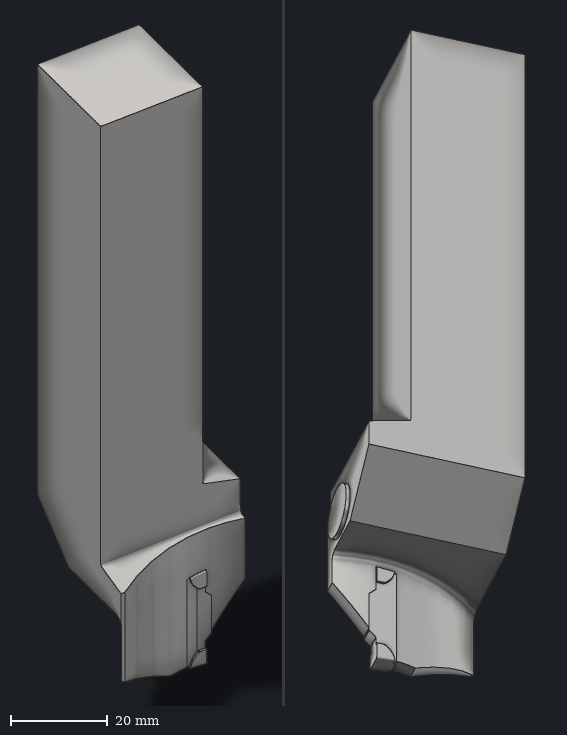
import cadquery as cq
import math


total_length = 151.35
shank_width = 24.7
shank_height = 25.0
head_width = 32.64
head_height = 34.2
head_bottom_z = 26.65
shoulder_angle = math.radians(15)
side_shoulder_z = 35.5
top_shoulder_z = 46.55
shoulder_fillet = 0.8
corner_cut_width = 12.1
corner_cut_height = 11.2

screw_diameter = 11.86
screw_height = 0.9
screw_x = 17.9
screw_z = 33.6

cutting_height = shank_height
blade_thickness = 3.3
blade_left_x = 22.4
convex_radius = 35.5
concave_radius = 45.3
root_fillet = 1.9
blade_bottom_z = 0.95
blade_bottom_y = 16.0
base_slope_angle = math.radians(30)
jaw_corner_z = 19.05
jaw_slope_angle = math.radians(55)

insert_length = 24.6
insert_seat_y = 20.5
insert_body_width = 3.4
insert_edge_width = 4.4
land_height = 1.5
land_start = 5.85
front_clearance = math.radians(5)
cheek_length = 4.0
cheek_flat = 1.7
cheek_heel_gap = 0.5
cheek_radius = 5.0
edge_corner_radius = 0.4

convex_axis_x = blade_left_x + convex_radius
concave_axis_x = blade_left_x + blade_thickness + concave_radius
insert_x = blade_left_x + blade_thickness / 2


def make_head_and_shank():
    """Square shank and shouldered head: a front outline crossed with a side outline."""
    side_drop = (head_width - shank_width) * math.tan(shoulder_angle)
    front_outline = [
        (0, total_length),
        (shank_width, total_length),
        (shank_width, side_shoulder_z),
        (head_width, side_shoulder_z - side_drop),
        (head_width, head_bottom_z),
        (corner_cut_width, head_bottom_z),
        (0, head_bottom_z + corner_cut_height),
    ]
    top_drop = (head_height - shank_height) * math.tan(shoulder_angle)
    side_outline = [
        (0, total_length),
        (shank_height, total_length),
        (shank_height, top_shoulder_z),
        (head_height, top_shoulder_z - top_drop),
        (head_height, head_bottom_z),
        (0, head_bottom_z),
    ]
    front_prism = cq.Workplane("XZ").polyline(front_outline).close().extrude(-head_height)
    side_root = cq.selectors.NearestToPointSelector((shank_width, head_height / 2, side_shoulder_z))
    front_prism = front_prism.edges("|Y").edges(side_root).fillet(shoulder_fillet)
    side_prism = cq.Workplane("YZ").polyline(side_outline).close().extrude(head_width)
    top_root = cq.selectors.NearestToPointSelector((head_width / 2, shank_height, top_shoulder_z))
    side_prism = side_prism.edges("|X").edges(top_root).fillet(shoulder_fillet)
    return front_prism.intersect(side_prism)


def make_blade():
    """Convex blade with a filleted root, trimmed to its side outline."""
    fillet_reach = root_fillet * (1 - math.sqrt(0.5))
    round_body = (
        cq.Workplane("XZ", origin=(convex_axis_x, cutting_height, 0))
        .lineTo(convex_radius, 0)
        .lineTo(convex_radius, head_bottom_z - root_fillet)
        .threePointArc(
            (convex_radius + fillet_reach, head_bottom_z - fillet_reach),
            (convex_radius + root_fillet, head_bottom_z),
        )
        .lineTo(0, head_bottom_z)
        .close()
        .revolve(360, (0, 0, 0), (0, 1, 0))
    )
    jaw_bottom_y = head_height - (jaw_corner_z - blade_bottom_z) / math.tan(jaw_slope_angle)
    base_corner_z = blade_bottom_z + blade_bottom_y * math.tan(base_slope_angle)
    side_outline = [
        (0, head_bottom_z),
        (0, base_corner_z),
        (blade_bottom_y, blade_bottom_z),
        (jaw_bottom_y, blade_bottom_z),
        (head_height, jaw_corner_z),
        (head_height, head_bottom_z),
    ]
    side_prism = cq.Workplane("YZ").polyline(side_outline).close().extrude(head_width)
    return round_body.intersect(side_prism)


def make_concave_cutter():
    """Cylinder that hollows the +X side of the head and blade."""
    return (
        cq.Workplane("XY")
        .center(concave_axis_x, cutting_height)
        .circle(concave_radius)
        .extrude(total_length)
    )


def make_screw_head():
    """Low round head standing on the +Y face of the head."""
    return (
        cq.Workplane("XZ", origin=(screw_x, head_height, screw_z))
        .circle(screw_diameter / 2)
        .extrude(-screw_height)
    )


def make_insert_half():
    """Half of the insert, from the cutting edge at Z = 0 up to its middle."""
    middle_z = insert_length / 2
    heel_z = (cutting_height - insert_seat_y) * math.tan(front_clearance)
    cheek_end_y = insert_seat_y + cheek_heel_gap
    cheek_end_z = (cutting_height - cheek_end_y) * math.tan(front_clearance)
    body_outline = [
        (cutting_height, 0),
        (cutting_height, land_start),
        (cutting_height + land_height, land_start + land_height),
        (cutting_height + land_height, middle_z),
        (insert_seat_y, middle_z),
        (insert_seat_y, heel_z),
    ]
    body = (
        cq.Workplane("YZ", origin=(insert_x, 0, 0))
        .polyline(body_outline)
        .close()
        .extrude(insert_body_width / 2, both=True)
    )
    cheeks = (
        cq.Workplane("YZ", origin=(insert_x, 0, 0))
        .moveTo(cutting_height, 0)
        .lineTo(cutting_height, cheek_length)
        .lineTo(cutting_height - cheek_flat, cheek_length)
        .radiusArc((cheek_end_y, cheek_end_z), -cheek_radius)
        .close()
        .extrude(insert_edge_width / 2, both=True)
    )
    tip_corners = cq.selectors.BoxSelector(
        (0, insert_seat_y - 1, -1), (head_width, cutting_height + 1, 2 * heel_z)
    )
    half = body.union(cheeks)
    return half.edges("not(|X or |Z)").edges(tip_corners).fillet(edge_corner_radius)


def make_insert():
    """Double-ended insert, the same at both ends."""
    lower_half = make_insert_half()
    upper_half = lower_half.mirror("XY", (0, 0, insert_length / 2))
    return lower_half.union(upper_half)


insert = make_insert()
holder = (
    make_head_and_shank()
    .union(make_blade())
    .cut(make_concave_cutter())
    .union(make_screw_head())
    .cut(insert)
)

result = cq.Compound.makeCompound([holder.solids().val(), insert.solids().val()])